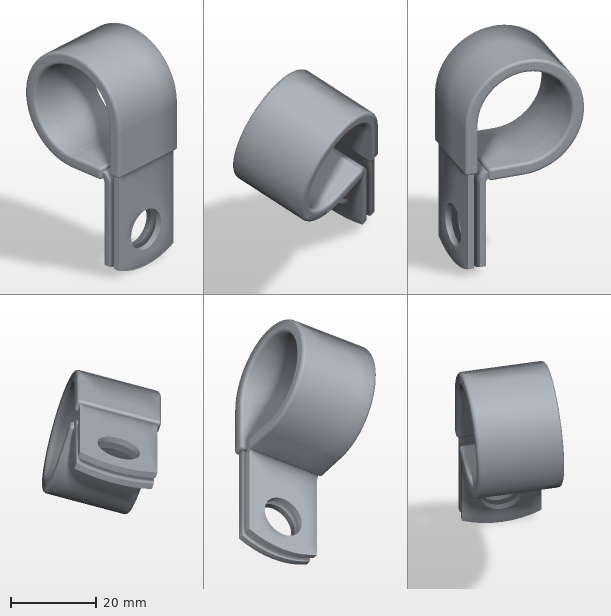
import cadquery as cq
import math

outer_diameter = 30.0
cushion_thickness = 0.8
strap_thickness = 1.55
strap_width = 19.0
edge_round = 0.75
straight_cushion_end = 12.7
bent_cushion_end = 9.15
bent_leg_face = 11.15
bend_inner_radius = 1.55
total_height = 54.7
hole_diameter = 10.35
hole_depth = 30.15
tip_rise = 2.2

outer_radius = outer_diameter / 2
cushion_width = strap_width + 2 * cushion_thickness
inner_radius = outer_radius - strap_thickness - 2 * cushion_thickness
strap_outer_radius = outer_radius - cushion_thickness
strap_inner_radius = strap_outer_radius - strap_thickness
tip_z = outer_radius - total_height
bend_outer_radius = bend_inner_radius + strap_thickness
bend_x = bent_leg_face - bend_outer_radius
bend_z = -strap_inner_radius - bend_outer_radius
diagonal = math.sqrt(0.5)


def make_cushion():
    """Three-quarter loop with two straight ends and all edges rounded."""
    body = (
        cq.Workplane("XZ")
        .moveTo(outer_radius, -straight_cushion_end)
        .lineTo(outer_radius, 0)
        .threePointArc((-outer_radius * diagonal, outer_radius * diagonal), (0, -outer_radius))
        .lineTo(bent_cushion_end, -outer_radius)
        .lineTo(bent_cushion_end, -inner_radius)
        .lineTo(0, -inner_radius)
        .threePointArc((-inner_radius * diagonal, inner_radius * diagonal), (inner_radius, 0))
        .lineTo(inner_radius, -straight_cushion_end)
        .close()
        .extrude(cushion_width / 2, both=True)
    )
    side_edges = body.faces("<Y or >Y").edges()
    end_corners = body.edges("|Y").filter(is_end_corner)
    return side_edges.add(end_corners).fillet(edge_round)


def is_end_corner(edge):
    """True for the width-wise edges at either cushion end."""
    center = edge.Center()
    tolerance = 0.005
    on_straight_end = abs(center.z + straight_cushion_end) < tolerance
    on_bent_end = abs(center.x - bent_cushion_end) < tolerance
    return on_straight_end or on_bent_end


def make_strap():
    """Metal strip: loop, straight leg and a leg bent down beside it."""
    strip = (
        cq.Workplane("XZ")
        .moveTo(strap_outer_radius, tip_z)
        .lineTo(strap_outer_radius, 0)
        .threePointArc(
            (-strap_outer_radius * diagonal, strap_outer_radius * diagonal), (0, -strap_outer_radius)
        )
        .lineTo(bend_x, -strap_outer_radius)
        .threePointArc(
            (bend_x + bend_inner_radius * diagonal, bend_z + bend_inner_radius * diagonal),
            (bend_x + bend_inner_radius, bend_z),
        )
        .lineTo(bend_x + bend_inner_radius, tip_z)
        .lineTo(bent_leg_face, tip_z)
        .lineTo(bent_leg_face, bend_z)
        .threePointArc(
            (bend_x + bend_outer_radius * diagonal, bend_z + bend_outer_radius * diagonal),
            (bend_x, -strap_inner_radius),
        )
        .lineTo(0, -strap_inner_radius)
        .threePointArc(
            (-strap_inner_radius * diagonal, strap_inner_radius * diagonal), (strap_inner_radius, 0)
        )
        .lineTo(strap_inner_radius, tip_z)
        .close()
        .extrude(strap_width / 2, both=True)
    )
    half_width = strap_width / 2
    outline = (
        cq.Workplane("YZ", origin=(-outer_radius, 0, 0))
        .moveTo(-half_width, outer_radius)
        .lineTo(-half_width, tip_z + tip_rise)
        .threePointArc((0, tip_z), (half_width, tip_z + tip_rise))
        .lineTo(half_width, outer_radius)
        .close()
        .extrude(2 * outer_radius)
    )
    return strip.intersect(outline)


def make_bolt_hole():
    """Cylinder through both legs, below the loop."""
    return (
        cq.Workplane("YZ")
        .center(0, -hole_depth)
        .circle(hole_diameter / 2)
        .extrude(outer_radius)
    )


result = make_cushion().union(make_strap()).cut(make_bolt_hole())